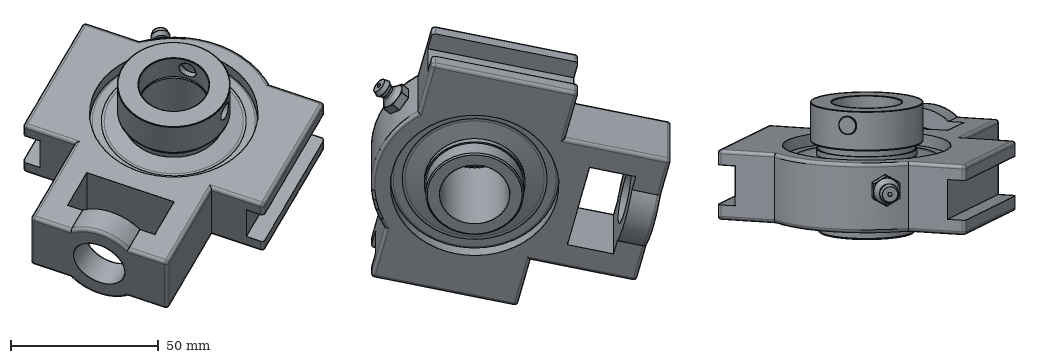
import cadquery as cq
import math

OVERALL_LENGTH = 102.0

BODY_THICKNESS = 24.0
WING_WIDTH = 89.0
WING_DEPTH = 50.8
TAIL_WIDTH = 50.6
CROWN_RADIUS = 35.0
EDGE_FILLET = 1.2

GUIDE_WIDTH = 13.7
GUIDE_DEPTH = 6.4

WINDOW_WIDTH = 32.2
WINDOW_NEAR = 36.1
WINDOW_FAR = 52.1

BOSS_DIAMETER = 32.0
BOSS_HOLE_DIAMETER = 19.0

OUTER_RING_DIAMETER = 56.9
OUTER_RING_WIDTH = 16.1
OUTER_RING_FILLET = 0.9
SHIELD_DIAMETER = 49.0
SHIELD_RIM_DIAMETER = 47.0
SHIELD_RISE = 1.0

INNER_RING_DIAMETER = 33.0
INNER_RING_BOTTOM = -17.5
INNER_RING_TOP = 17.4
INNER_RING_CHAMFER = 0.5
LAND_DIAMETER = 34.1
LAND_HEIGHT = 11.0
BORE_DIAMETER = 23.8
BORE_CHAMFER = 0.8
NOSE_DIAMETER = 30.7

COLLAR_DIAMETER = 38.1
COLLAR_BOTTOM = 13.4
COLLAR_TOP = 26.9
COLLAR_LOWER_CHAMFER = 0.4
COLLAR_RIM_CHAMFER = 0.2
CROSS_HOLE_HEIGHT = 22.0
CROSS_HOLE_DIAMETER = 6.3
SPANNER_HOLE_DEPTH = 3.1
SCREW_INNER_END = 13.9
SCREW_OUTER_END = 19.4
SCREW_CHAMFER = 0.2

NIPPLE_ANGLE = 30.0
NIPPLE_HEIGHT = 3.0
STEM_DIAMETER = 6.0
STEM_LENGTH = 5.1
HEX_ACROSS_FLATS = 9.0
HEX_HEIGHT = 3.2
NIPPLE_LENGTH = 9.5
SHOULDER_RADIUS = 4.5
SHOULDER_TOP_RADIUS = 2.9
NECK_RADIUS = 2.4
SHOULDER_TOP = 4.8
NECK_BOTTOM = 5.4
NECK_TOP = 6.1
HEAD_MIDDLE = 7.6
HEAD_RADIUS = 3.3
TIP_RADIUS = 2.7
BALL_DIAMETER = 1.5
BALL_PROTRUSION = 0.5

NIPPLE_TILT = math.radians(NIPPLE_ANGLE)
NIPPLE_REACH = (CROWN_RADIUS + NIPPLE_LENGTH) * math.cos(NIPPLE_TILT) + TIP_RADIUS * math.sin(NIPPLE_TILT)
TAIL_END = OVERALL_LENGTH - NIPPLE_REACH


def cylinder(diameter, start, length, direction):
    plane = cq.Plane(origin=start, normal=direction)
    return cq.Workplane(plane).circle(diameter / 2).extrude(length)


def aim_at_nipple(shape):
    """Move a shape standing on Z to the radial nipple axis, its origin on the crown surface."""
    return (
        shape.rotate((0, 0, 0), (1, 0, 0), -90)
        .translate((0, CROWN_RADIUS, NIPPLE_HEIGHT))
        .rotate((0, 0, 0), (0, 0, 1), NIPPLE_ANGLE)
    )


def make_plate():
    """T-shaped plate with a round crown at the back and all its outer edges rounded."""
    half_wing = WING_WIDTH / 2
    half_depth = WING_DEPTH / 2
    half_tail = TAIL_WIDTH / 2
    crown_x = math.sqrt(CROWN_RADIUS**2 - half_depth**2)
    plate = (
        cq.Workplane("XY", origin=(0, 0, -BODY_THICKNESS / 2))
        .moveTo(-half_tail, -TAIL_END)
        .lineTo(half_tail, -TAIL_END)
        .lineTo(half_tail, -half_depth)
        .lineTo(half_wing, -half_depth)
        .lineTo(half_wing, half_depth)
        .lineTo(crown_x, half_depth)
        .threePointArc((0, CROWN_RADIUS), (-crown_x, half_depth))
        .lineTo(-half_wing, half_depth)
        .lineTo(-half_wing, -half_depth)
        .lineTo(-half_tail, -half_depth)
        .close()
        .extrude(BODY_THICKNESS)
    )
    outer_corners = plate.faces("<X or >X or <Y").edges("|Z")
    rims = plate.faces("<Z or >Z").edges()
    return outer_corners.add(rims).fillet(EDGE_FILLET)


def make_boss():
    """Round boss at the end of the tail, for the adjusting screw."""
    boss = cylinder(BOSS_DIAMETER, (0, -TAIL_END, 0), TAIL_END - WINDOW_FAR, (0, 1, 0))
    return boss.faces("<Y").edges().fillet(EDGE_FILLET)


def cut_guides(housing):
    """Cut a slot into the end of each wing, along its whole depth."""
    for side in (-1, 1):
        guide = cq.Workplane("XY").box(2 * GUIDE_DEPTH, WING_DEPTH, GUIDE_WIDTH)
        housing = housing.cut(guide.translate((side * WING_WIDTH / 2, 0, 0)))
    return housing


def make_housing():
    """Plate and boss with the guide slots, window, boss hole, bearing bore and nipple hole."""
    housing = make_plate().union(make_boss())
    housing = cut_guides(housing)

    window_depth = WINDOW_FAR - WINDOW_NEAR
    window = cq.Workplane("XY").box(WINDOW_WIDTH, window_depth, BOSS_DIAMETER)
    housing = housing.cut(window.translate((0, -(WINDOW_NEAR + WINDOW_FAR) / 2, 0)))

    boss_hole = cylinder(BOSS_HOLE_DIAMETER, (0, -TAIL_END, 0), TAIL_END - WINDOW_NEAR, (0, 1, 0))
    bearing_bore = cylinder(OUTER_RING_DIAMETER, (0, 0, -BODY_THICKNESS / 2), BODY_THICKNESS, (0, 0, 1))
    stem_hole = aim_at_nipple(cylinder(STEM_DIAMETER, (0, 0, -STEM_LENGTH), 2 * STEM_LENGTH, (0, 0, 1)))
    return housing.cut(boss_hole).cut(bearing_bore).cut(stem_hole)


def make_outer_ring():
    """Plain ring with rounded outer rims, fitting the bore of the housing."""
    bottom = (0, 0, -OUTER_RING_WIDTH / 2)
    ring = cylinder(OUTER_RING_DIAMETER, bottom, OUTER_RING_WIDTH, (0, 0, 1))
    ring = ring.faces("<Z or >Z").edges().fillet(OUTER_RING_FILLET)
    return ring.cut(cylinder(SHIELD_DIAMETER, bottom, OUTER_RING_WIDTH, (0, 0, 1)))


def make_inner_ring():
    """Long inner ring with a narrower nose on top, carrying the conical shields."""
    bore_r = BORE_DIAMETER / 2
    ring_r = INNER_RING_DIAMETER / 2
    nose_r = NOSE_DIAMETER / 2
    land_r = LAND_DIAMETER / 2
    rim_r = SHIELD_RIM_DIAMETER / 2
    shield_r = SHIELD_DIAMETER / 2
    rim_z = OUTER_RING_WIDTH / 2
    root_z = rim_z + SHIELD_RISE
    profile = (
        cq.Workplane("XZ")
        .moveTo(bore_r, INNER_RING_BOTTOM)
        .lineTo(ring_r - INNER_RING_CHAMFER, INNER_RING_BOTTOM)
        .lineTo(ring_r, INNER_RING_BOTTOM + INNER_RING_CHAMFER)
        .lineTo(ring_r, -LAND_HEIGHT)
        .lineTo(land_r, -LAND_HEIGHT)
        .lineTo(land_r, -root_z)
        .lineTo(rim_r, -rim_z)
        .lineTo(shield_r, -rim_z)
        .lineTo(shield_r, rim_z)
        .lineTo(rim_r, rim_z)
        .lineTo(land_r, root_z)
        .lineTo(land_r, LAND_HEIGHT)
        .lineTo(ring_r, LAND_HEIGHT)
        .lineTo(ring_r, COLLAR_BOTTOM)
        .lineTo(nose_r, COLLAR_BOTTOM)
        .lineTo(nose_r, INNER_RING_TOP)
        .lineTo(bore_r + BORE_CHAMFER, INNER_RING_TOP)
        .lineTo(bore_r, INNER_RING_TOP - BORE_CHAMFER)
        .close()
    )
    return profile.revolve(360, (0, 0, 0), (0, 1, 0))


def make_collar():
    """Locking collar over the nose of the inner ring, with a set screw hole and a blind spanner hole."""
    collar = cylinder(COLLAR_DIAMETER, (0, 0, COLLAR_BOTTOM), COLLAR_TOP - COLLAR_BOTTOM, (0, 0, 1))
    collar = collar.faces("<Z").edges().chamfer(COLLAR_LOWER_CHAMFER)
    bore = cylinder(BORE_DIAMETER, (0, 0, COLLAR_BOTTOM), COLLAR_TOP - COLLAR_BOTTOM, (0, 0, 1))
    collar = collar.cut(bore).faces(">Z").edges().chamfer(COLLAR_RIM_CHAMFER)
    nose_recess = cylinder(NOSE_DIAMETER, (0, 0, COLLAR_BOTTOM), INNER_RING_TOP - COLLAR_BOTTOM, (0, 0, 1))
    screw_hole = cylinder(CROSS_HOLE_DIAMETER, (0, 0, CROSS_HOLE_HEIGHT), COLLAR_DIAMETER, (0, 1, 0))
    spanner_hole_start = (COLLAR_DIAMETER / 2 - SPANNER_HOLE_DEPTH, 0, CROSS_HOLE_HEIGHT)
    spanner_hole = cylinder(CROSS_HOLE_DIAMETER, spanner_hole_start, COLLAR_DIAMETER, (1, 0, 0))
    return collar.cut(nose_recess).cut(screw_hole).cut(spanner_hole)


def make_set_screw():
    """Set screw standing slightly proud of the collar and stopping short of its bore."""
    start = (0, SCREW_INNER_END, CROSS_HOLE_HEIGHT)
    screw = cylinder(CROSS_HOLE_DIAMETER, start, SCREW_OUTER_END - SCREW_INNER_END, (0, 1, 0))
    return screw.faces(">Y").edges().chamfer(SCREW_CHAMFER)


def make_nipple():
    """Grease nipple: stem, hexagon with corners up and down, tapered neck, head and valve ball."""
    stem = cylinder(STEM_DIAMETER, (0, 0, -STEM_LENGTH), STEM_LENGTH, (0, 0, 1))
    across_corners = HEX_ACROSS_FLATS / math.cos(math.pi / 6)
    hexagon = cq.Workplane("XY").polygon(6, across_corners).extrude(HEX_HEIGHT)
    hexagon = hexagon.rotate((0, 0, 0), (0, 0, 1), 90)
    head = (
        cq.Workplane("XZ")
        .moveTo(0, HEX_HEIGHT)
        .lineTo(SHOULDER_RADIUS, HEX_HEIGHT)
        .lineTo(SHOULDER_TOP_RADIUS, SHOULDER_TOP)
        .lineTo(NECK_RADIUS, NECK_BOTTOM)
        .lineTo(NECK_RADIUS, NECK_TOP)
        .lineTo(HEAD_RADIUS, HEAD_MIDDLE)
        .lineTo(TIP_RADIUS, NIPPLE_LENGTH)
        .lineTo(0, NIPPLE_LENGTH)
        .close()
        .revolve(360, (0, 0, 0), (0, 1, 0))
    )
    ball_height = NIPPLE_LENGTH + BALL_PROTRUSION - BALL_DIAMETER / 2
    ball = cq.Workplane("XY").sphere(BALL_DIAMETER / 2).translate((0, 0, ball_height))
    return aim_at_nipple(stem.union(hexagon).union(head).union(ball))


housing = make_housing()
outer_ring = make_outer_ring()
inner_ring = make_inner_ring()
collar = make_collar()
set_screw = make_set_screw()
nipple = make_nipple()

result = cq.Compound.makeCompound(
    [
        housing.val(),
        outer_ring.val(),
        inner_ring.val(),
        collar.val(),
        set_screw.val(),
        nipple.val(),
    ]
)